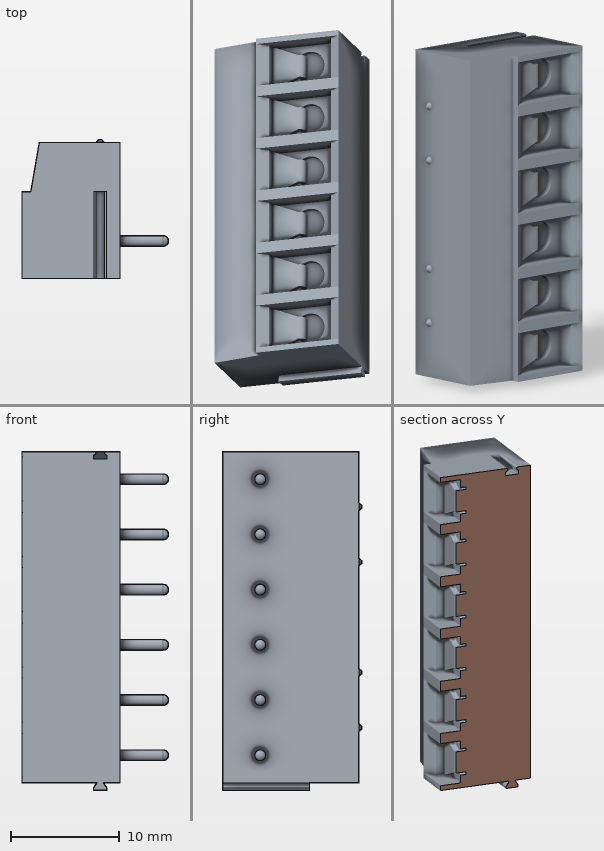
import cadquery as cq
pole_count = 6
pitch = 5.08
dovetail_height = 0.7
body_length = 31.17 - dovetail_height
body_depth = 9.05
body_width = 12.53
total_depth = 13.5

step_y = 8.0
step_depth = 0.8
slope_depth = 1.6

cell_height = 4.05
entry_y = 6.98
entry_chamfer = 0.8
far_wall_y = 0.87
far_wall_slope = 0.5

tongue_x = 1.5
tongue_radius = 0.53
tongue_end_y = 3.85
tongue_tip_height = 2.12
cell_floor_x = tongue_x + tongue_radius

screw_radius = 1.43
screw_floor_x = 2.55
pin_y = 3.45

pin_radius = 0.5

dovetail_x = 7.2
dovetail_half_width = 0.62
rail_root_half = 0.3
rail_rim = 0.22
groove_neck_half = 0.4
groove_mouth_half = 0.55
groove_lead_in = 0.1
groove_neck_end = 0.2
groove_flank_end = 0.37

bump_x = dovetail_x
bump_height = 0.28
bump_base_radius = 0.37
bump_tip_radius = 0.12
bump_seams = (1, 2, 4, 5)


def pole_z(index):
    """Height of the middle of one pole."""
    return (index + 0.5) * pitch


def extrude_along_z(points, z_low, z_high):
    return cq.Workplane("XY").workplane(offset=z_low).polyline(points).close().extrude(z_high - z_low)


def make_body():
    outline = [
        (0, 0),
        (body_depth, 0),
        (body_depth, body_width),
        (slope_depth, body_width),
        (step_depth, step_y),
        (0, step_y),
    ]
    return extrude_along_z(outline, 0, body_length)


def make_cell(z_mid):
    """Wire opening with slanted side walls and a round screw recess in its floor."""
    outline = [
        (0, 0),
        (far_wall_slope, far_wall_y),
        (cell_floor_x, far_wall_y),
        (cell_floor_x, entry_y),
        (entry_chamfer, entry_y),
        (0, step_y),
    ]
    opening = extrude_along_z(outline, z_mid - cell_height / 2, z_mid + cell_height / 2)
    recess = (
        cq.Workplane("YZ", origin=(cell_floor_x, pin_y, z_mid))
        .circle(screw_radius)
        .extrude(screw_floor_x - cell_floor_x)
    )
    return opening.union(recess)


def make_tongue(z_mid):
    """Clamp tongue, rounded at both ends and tapering towards the screw."""
    plate = (
        cq.Workplane("XY", origin=(0, 0, z_mid - cell_height / 2))
        .moveTo(screw_floor_x, tongue_end_y)
        .lineTo(tongue_x + tongue_radius, tongue_end_y)
        .radiusArc((tongue_x, tongue_end_y + tongue_radius), tongue_radius)
        .lineTo(tongue_x, entry_y - tongue_radius)
        .radiusArc((tongue_x + tongue_radius, entry_y), tongue_radius)
        .lineTo(screw_floor_x, entry_y)
        .close()
        .extrude(cell_height)
    )
    wide = cell_height / 2
    tip = tongue_tip_height / 2
    taper_start_y = entry_y - tongue_radius / 2
    taper_end_y = tongue_end_y + tongue_radius
    face = (
        cq.Workplane("YZ", origin=(0, 0, z_mid))
        .polyline([
            (tongue_end_y, -tip),
            (taper_end_y, -tip),
            (taper_start_y, -wide),
            (entry_y, -wide),
            (entry_y, wide),
            (taper_start_y, wide),
            (taper_end_y, tip),
            (tongue_end_y, tip),
        ])
        .close()
        .extrude(screw_floor_x)
    )
    return plate.intersect(face)


def make_pin(z_mid):
    """Round pin with a hemispherical tip, revolved about its own axis."""
    pin_length = total_depth - body_depth
    return (
        cq.Workplane("XY", origin=(body_depth, pin_y, z_mid))
        .lineTo(0, -pin_radius)
        .lineTo(pin_length - pin_radius, -pin_radius)
        .radiusArc((pin_length, 0), -pin_radius)
        .close()
        .revolve(360, (0, 0, 0), (1, 0, 0))
    )


def make_dovetail(z_top, half_profile):
    """Prism along Y, symmetric about dovetail_x, from (half width, depth below z_top) pairs."""
    right = [(dovetail_x + half, z_top - depth) for half, depth in half_profile]
    left = [(dovetail_x - half, z_top - depth) for half, depth in reversed(half_profile)]
    return cq.Workplane("XZ").polyline(right + left).close().extrude(-step_y)


def make_rail():
    return make_dovetail(0, [
        (rail_root_half, 0),
        (dovetail_half_width, dovetail_height - rail_rim),
        (dovetail_half_width, dovetail_height),
    ])


def make_groove():
    """Dovetail groove with a chamfered mouth."""
    return make_dovetail(body_length, [
        (groove_mouth_half, 0),
        (groove_neck_half, groove_lead_in),
        (groove_neck_half, groove_neck_end),
        (dovetail_half_width, groove_flank_end),
        (dovetail_half_width, dovetail_height),
    ])


def make_bump(z_mid):
    """Small blunt cone on the back."""
    return (
        cq.Workplane("XZ", origin=(bump_x, body_width, z_mid))
        .circle(bump_base_radius)
        .workplane(offset=-bump_height)
        .circle(bump_tip_radius)
        .loft()
    )


result = make_body()
for pole in range(pole_count):
    z_mid = pole_z(pole)
    result = result.cut(make_cell(z_mid)).union(make_tongue(z_mid)).union(make_pin(z_mid))
result = result.cut(make_groove()).union(make_rail())
for seam in bump_seams:
    result = result.union(make_bump(seam * pitch))